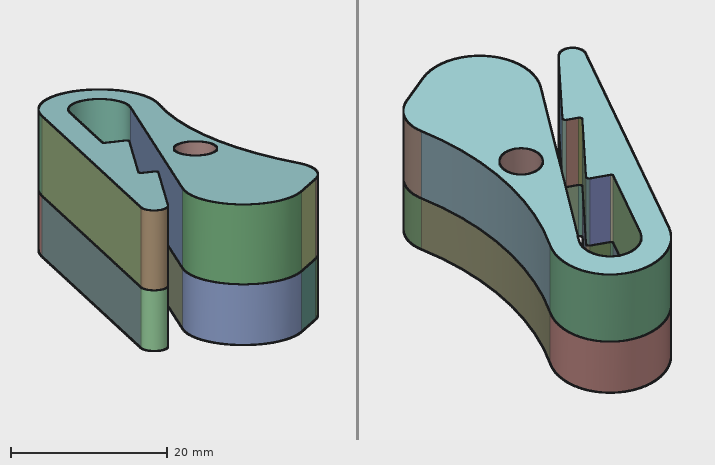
import cadquery as cq
import math

base_height = 8.25
cover_height = 10.8

bend_inner_radius = 4.0
wall = 3.8
bend_radius = bend_inner_radius + wall
bend_center = (bend_radius, bend_radius)

clip_length = 49.65
clip_width = 26.0
head_radius = 7.95
head_center = (clip_length - head_radius, 15.4)
nose_radius = 5.2
nose_center = (39.45, clip_width - nose_radius)
hollow_radius = 39.2

arm_length = 47.7
arm_tip_radius = 1.8
arm_tip_center = (arm_length - arm_tip_radius, arm_tip_radius)
ramp_angle = math.radians(14)
first_tooth_x = 20.5
first_tooth_top = 7.35
second_tooth_x = 33.2
tooth_round = 0.4
notch_round = 0.4
floor_round = 0.25

screw_center = (26.4, 14.3)
screw_head_diameter = 5.55
clearance_diameter = 3.4
pilot_diameter = 2.55
head_recess_depth = 4.95
countersink_angle = math.radians(90)
pilot_depth = 4.95
drill_point_angle = math.radians(118)


def polar(center, radius, angle):
    """Point on a circle at an angle given in radians."""
    return (center[0] + radius * math.cos(angle), center[1] + radius * math.sin(angle))


def direction(start, end):
    """Angle of the line from start to end, in radians."""
    return math.atan2(end[1] - start[1], end[0] - start[0])


ramp_slope = math.tan(ramp_angle)
ramp_end = polar(arm_tip_center, arm_tip_radius, math.pi / 2 - ramp_angle)
second_tooth_top = ramp_end[1] + ramp_slope * (ramp_end[0] - second_tooth_x)
notch_bottom = first_tooth_top - ramp_slope * (second_tooth_x - first_tooth_x)

tooth_corners = [
    ((first_tooth_x, wall), floor_round),
    ((first_tooth_x, first_tooth_top), tooth_round),
    ((second_tooth_x, notch_bottom), notch_round),
    ((second_tooth_x, second_tooth_top), tooth_round),
]


def hollow_arc_center():
    """Center of the concave arc that touches both the bend and the nose from outside."""
    to_bend = hollow_radius + bend_radius
    to_nose = hollow_radius + nose_radius
    span = math.dist(bend_center, nose_center)
    corner = math.acos((to_bend**2 + span**2 - to_nose**2) / (2 * to_bend * span))
    return polar(bend_center, to_bend, direction(bend_center, nose_center) + corner)


def clip_outline():
    """Closed outline of the clip, with the tooth corners still sharp."""
    hollow_center = hollow_arc_center()
    bend_to_hollow = direction(bend_center, hollow_center)
    nose_to_hollow = direction(nose_center, hollow_center)
    hollow_start = polar(bend_center, bend_radius, bend_to_hollow)
    hollow_end = polar(nose_center, nose_radius, nose_to_hollow)
    hollow_mid_angle = (bend_to_hollow + nose_to_hollow) / 2 - math.pi

    nose_head_gap = math.dist(nose_center, head_center)
    flank_normal = direction(nose_center, head_center) + math.acos(
        (nose_radius - head_radius) / nose_head_gap
    )

    bend_head_gap = math.dist(bend_center, head_center)
    jaw_normal = direction(bend_center, head_center) + math.acos(
        (bend_inner_radius + head_radius) / bend_head_gap
    )

    outline = (
        cq.Workplane("XY")
        .moveTo(bend_center[0], 0)
        .threePointArc((0, bend_center[1]), hollow_start)
        .threePointArc(polar(hollow_center, hollow_radius, hollow_mid_angle), hollow_end)
        .threePointArc(
            polar(nose_center, nose_radius, math.pi / 2),
            polar(nose_center, nose_radius, flank_normal),
        )
        .lineTo(*polar(head_center, head_radius, flank_normal))
        .threePointArc(
            polar(head_center, head_radius, 0),
            polar(head_center, head_radius, jaw_normal - math.pi),
        )
        .lineTo(*polar(bend_center, bend_inner_radius, jaw_normal))
        .threePointArc(
            polar(bend_center, bend_inner_radius, math.pi),
            (bend_center[0], wall),
        )
    )
    for corner, _ in tooth_corners:
        outline = outline.lineTo(*corner)
    return (
        outline.lineTo(*ramp_end)
        .threePointArc(polar(arm_tip_center, arm_tip_radius, 0), (arm_tip_center[0], 0))
        .close()
    )


def clip_layer(bottom, height):
    """Slab with the clip outline and rounded tooth corners."""
    layer = clip_outline().extrude(height)
    for (x, y), radius in tooth_corners:
        corner_edge = cq.selectors.NearestToPointSelector((x, y, height / 2))
        layer = layer.edges(corner_edge).fillet(radius)
    return layer.translate((0, 0, bottom))


def screw_axis_revolve(half_profile, level):
    """Turn (radius, height) points about the screw axis, heights measured from level."""
    turned = cq.Workplane("XZ").polyline(half_profile).close().revolve(360, (0, 0), (0, 1))
    return turned.translate((*screw_center, level))


def make_base():
    """Lower layer with a blind pilot hole for the screw."""
    radius = pilot_diameter / 2
    point_length = radius / math.tan(drill_point_angle / 2)
    pilot = screw_axis_revolve(
        [(0, 0), (radius, 0), (radius, -pilot_depth), (0, -pilot_depth - point_length)],
        base_height,
    )
    return clip_layer(0, base_height).cut(pilot)


def make_cover():
    """Upper layer with a deep countersunk clearance hole for the screw."""
    head = screw_head_diameter / 2
    clearance = clearance_diameter / 2
    cone_top = cover_height - head_recess_depth
    cone_bottom = cone_top - (head - clearance) / math.tan(countersink_angle / 2)
    screw_hole = screw_axis_revolve(
        [
            (0, 0),
            (clearance, 0),
            (clearance, cone_bottom),
            (head, cone_top),
            (head, cover_height),
            (0, cover_height),
        ],
        base_height,
    )
    return clip_layer(base_height, cover_height).cut(screw_hole)


base = make_base()
cover = make_cover()

result = cq.Compound.makeCompound([base.val(), cover.val()])